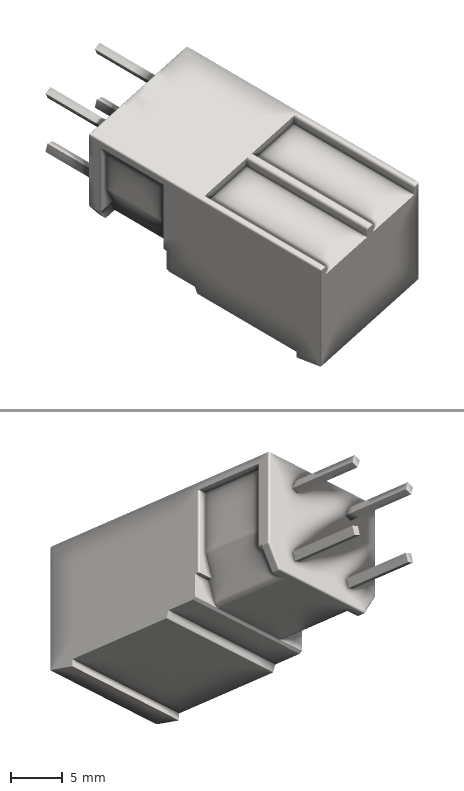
import cadquery as cq
import math


LENGTH = 29.0
WIDTH = 15.25
HALF_WIDTH = WIDTH / 2
EDGE_RADIUS = 0.205

FRONT_DEPTH = 12.5
MIDDLE_DEPTH = 12.73
REAR_DEPTH = 13.5
HOOK_DEPTH = 14.3
MIDDLE_START = 9.75
MIDDLE_CHAMFER = 0.3
REAR_START = 13.58
STEP_RUN = 0.3
HOOK_START = 26.0
HOOK_END_DEPTH = 13.6
STEP_RADIUS = 0.1

CORNER_WIDTH = 1.5
CORNER_START_DEPTH = 10.1

POCKET_START = 1.5
POCKET_END = 9.3
POCKET_TOP_DEPTH = 0.92
POCKET_INSET = 0.92
BEND_DEPTH = 7.5
STEP_DEPTH = 10.0
FLANGE_THICKNESS = 0.92
SLOPE_RUN = 1.9
FLOOR_RADIUS = 0.65

RECESS_START = 14.0
RECESS_DEPTH = 1.2
CENTRE_RIB_WIDTH = 0.95
SIDE_RIB_WIDTH = 0.8
RIB_RADIUS = 0.3

PIN_LENGTH = 8.0
PIN_WIDTH = 0.8
PIN_HEIGHT = 0.95
PIN_PITCH = 7.62
PIN_TOP_DEPTH = 2.55
PIN_TILT = 20.0
PIN_EMBED = 0.37

ARC_MID = math.sqrt(0.5)


def box(x_range, y_range, z_range):
    """Box spanning the given (low, high) ranges."""
    size = [high - low for low, high in (x_range, y_range, z_range)]
    return cq.Workplane("XY").box(*size, centered=False).translate((x_range[0], y_range[0], z_range[0]))


def mirrored(shape):
    """The shape together with its reflection in the symmetry plane."""
    return shape.union(shape.mirror("XZ"))


def round_edge(body, direction, point, radius):
    """Round the edge in the given direction whose middle lies nearest the point."""
    nearest = cq.selectors.NearestToPointSelector(point)
    return body.edges(direction).edges(nearest).fillet(radius)


def housing():
    """Extruded side outline with cut lower front corners and rounded outer edges."""
    body = (
        cq.Workplane("XZ")
        .moveTo(0, 0)
        .lineTo(0, -FRONT_DEPTH)
        .lineTo(MIDDLE_START, -FRONT_DEPTH)
        .lineTo(MIDDLE_START + MIDDLE_CHAMFER, -MIDDLE_DEPTH)
        .lineTo(REAR_START - STEP_RUN, -MIDDLE_DEPTH)
        .lineTo(REAR_START, -REAR_DEPTH)
        .lineTo(HOOK_START, -REAR_DEPTH)
        .lineTo(HOOK_START, -HOOK_DEPTH)
        .lineTo(LENGTH, -HOOK_END_DEPTH)
        .lineTo(LENGTH, 0)
        .close()
        .extrude(HALF_WIDTH, both=True)
    )
    corner = (
        cq.Workplane("YZ")
        .moveTo(HALF_WIDTH, -CORNER_START_DEPTH)
        .lineTo(HALF_WIDTH - CORNER_WIDTH, -FRONT_DEPTH)
        .lineTo(HALF_WIDTH, -FRONT_DEPTH)
        .close()
        .extrude(POCKET_START)
    )
    body = body.cut(mirrored(corner))
    body = round_edge(body, "|Y", (REAR_START, 0, -REAR_DEPTH), STEP_RADIUS)
    corner_zone = cq.selectors.BoxSelector((0, -WIDTH, -HOOK_DEPTH), (POCKET_START, WIDTH, -STEP_DEPTH))
    flange_corners = body.edges("|X").edges(corner_zone)
    front_edges = body.faces("<X").edges()
    top_edges = body.faces(">Z").edges("|X or >X")
    rear_edges = body.faces(">X").edges("|Z")
    return front_edges.add(flange_corners).add(top_edges).add(rear_edges).fillet(EDGE_RADIUS)


def cut_side_pockets(body):
    """Pockets with an upright floor that slopes inward below a rounded bend."""
    floor = HALF_WIDTH - POCKET_INSET
    section = (
        cq.Workplane("YZ")
        .moveTo(HALF_WIDTH, -POCKET_TOP_DEPTH)
        .lineTo(floor, -POCKET_TOP_DEPTH)
        .lineTo(floor, -BEND_DEPTH)
        .lineTo(floor - SLOPE_RUN, -FRONT_DEPTH)
        .lineTo(HALF_WIDTH, -FRONT_DEPTH)
        .close()
        .extrude(MIDDLE_START)
    )
    upper = box((POCKET_START, POCKET_END), (0, HALF_WIDTH), (-STEP_DEPTH, 0))
    lower = box((FLANGE_THICKNESS, MIDDLE_START), (0, HALF_WIDTH), (-FRONT_DEPTH, -STEP_DEPTH))
    body = body.cut(mirrored(section.intersect(upper.union(lower))))

    pocket_mid = (POCKET_START + POCKET_END) / 2
    mouth_mid_depth = (POCKET_TOP_DEPTH + STEP_DEPTH) / 2
    for side in (-1, 1):
        for x in (POCKET_START, POCKET_END):
            body = round_edge(body, "|Z", (x, side * HALF_WIDTH, -mouth_mid_depth), EDGE_RADIUS)
        for y, depth in ((floor, BEND_DEPTH), (floor - SLOPE_RUN, FRONT_DEPTH)):
            body = round_edge(body, "|X", (pocket_mid, side * y, -depth), FLOOR_RADIUS)
    return body


def cut_top_recesses(body):
    """Two recesses open at the rear, leaving three ribs with rounded top edges."""
    inner = CENTRE_RIB_WIDTH / 2
    outer = HALF_WIDTH - SIDE_RIB_WIDTH
    r = RIB_RADIUS
    near = r * (1 - ARC_MID)
    recess = (
        cq.Workplane("YZ", origin=(RECESS_START, 0, 0))
        .moveTo(inner - r, 0)
        .threePointArc((inner - near, -near), (inner, -r))
        .lineTo(inner, -RECESS_DEPTH)
        .lineTo(outer, -RECESS_DEPTH)
        .lineTo(outer, -r)
        .threePointArc((outer + near, -near), (outer + r, 0))
        .close()
        .extrude(LENGTH - RECESS_START)
    )
    return body.cut(mirrored(recess))


def add_pins(body):
    """Four rectangular pins; the upper and lower pairs tilt opposite ways."""
    for row, tilt in ((0, PIN_TILT), (1, -PIN_TILT)):
        for side in (-1, 1):
            pin = (
                cq.Workplane("YZ")
                .rect(PIN_WIDTH, PIN_HEIGHT)
                .extrude(PIN_LENGTH + PIN_EMBED)
                .rotate((0, 0, 0), (1, 0, 0), tilt)
                .translate((-PIN_LENGTH, side * PIN_PITCH / 2, -PIN_TOP_DEPTH - row * PIN_PITCH))
            )
            body = body.union(pin)
    return body


result = add_pins(cut_top_recesses(cut_side_pockets(housing())))